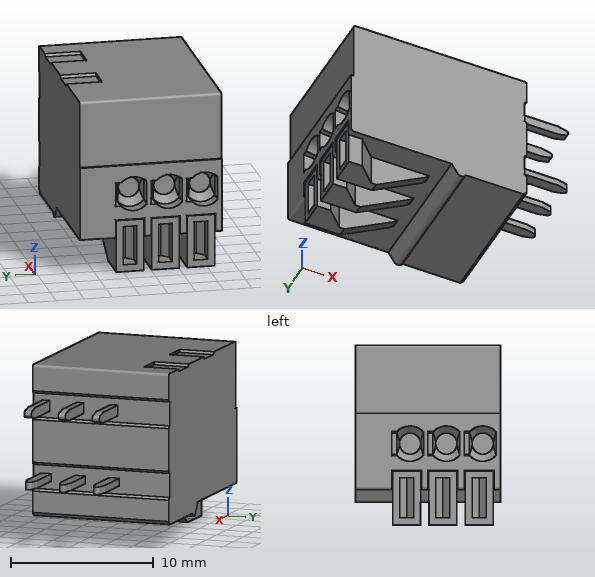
import cadquery as cq
import math

length = 17.2
width = 10.17
height = 12.6
poles = 3
pitch = width / (poles + 1)

body_right = 13.65
front_step = 0.19
front_step_z = 7.83
front_floor_z = 2.5
rear_floor_z = 1.84
corner_radius = 0.19
corner_chamfer = 0.25

rib_start_x = 7.81
rib_x = 8.57
rib_radius = 0.35
rib_bottom_z = 1.6

recess_depth = 0.17
recess_height = 1.7
recess_centers_z = (4.65, 9.74)

notch_starts_x = (4.52, 9.6)
notch_width = 2.1
notch_depth = 0.17
notch_slope_run = 0.22

entry_y = 1.25
entry_z = 5.71
entry_throat_radius = 1.24
entry_floor_radius = 0.74
entry_flat = 0.95
entry_floor_flat = 0.74
entry_throat_depth = 1.01
entry_funnel_depth = 0.62
pocket_reach = 1.29
pocket_mouth_half = 0.86
pocket_floor_half = 0.74

lever_y = 1.5
lever_width = 1.96
lever_top_z = 3.78
lever_front_x = 0.07
lever_block_end_x = 1.12
lever_arm_start_x = 2.43
lever_bottom_end_x = 2.82
lever_slope_end = (6.62, 2.22)
lever_root_x = 6.97
lever_clearance = 0.07
window_width = 0.98
window_bottom_z = 0.52
window_height = 2.8
window_wall_depth = 1.12

pin_y = 0.96
pin_width = 0.75
pin_thickness = 0.53
pin_taper_x = 16.4
pin_nose_radius = 0.24
pin_root_depth = 0.35


def make_housing():
    """Housing side outline, extruded over the full width."""
    rib_center_z = rib_bottom_z + rib_radius
    drop = front_floor_z - rib_center_z
    run = rib_x - rib_start_x
    rib_slope = math.atan2(drop, run) + math.asin(rib_radius / math.hypot(drop, run))
    tangent_x = rib_x - rib_radius * math.sin(rib_slope)
    tangent_z = rib_center_z - rib_radius * math.cos(rib_slope)
    rib_end_x = rib_x + math.sqrt(rib_radius**2 - (rib_center_z - rear_floor_z) ** 2)
    outline = (
        cq.Workplane("XZ")
        .moveTo(0, front_floor_z)
        .lineTo(rib_start_x, front_floor_z)
        .lineTo(tangent_x, tangent_z)
        .threePointArc((rib_x, rib_bottom_z), (rib_end_x, rear_floor_z))
        .lineTo(body_right, rear_floor_z)
        .lineTo(body_right, height)
        .lineTo(front_step, height)
        .lineTo(front_step, front_step_z)
        .lineTo(0, front_step_z)
        .close()
    )
    housing = outline.extrude(-width)
    housing = housing.edges("|Y and >Z").fillet(corner_radius)
    front_corner = cq.selectors.NearestToPointSelector((0, width / 2, front_floor_z))
    housing = housing.edges(front_corner).fillet(corner_radius)
    rear_corner = cq.selectors.NearestToPointSelector((body_right, width / 2, rear_floor_z))
    return housing.edges(rear_corner).chamfer(corner_chamfer)


def make_recess(center_z):
    """Groove with 45 degree flanks across the pin face."""
    floor_half = recess_height / 2
    return (
        cq.Workplane("XZ")
        .polyline([
            (body_right - recess_depth, center_z - floor_half),
            (body_right, center_z - floor_half - recess_depth),
            (body_right, center_z + floor_half + recess_depth),
            (body_right - recess_depth, center_z + floor_half),
        ])
        .close()
        .extrude(-width)
    )


def make_notch(start_x):
    """Shallow notch with sloped ends, one pitch long."""
    end_x = start_x + notch_width
    return (
        cq.Workplane("XZ", origin=(0, width - pitch, 0))
        .polyline([
            (start_x, height),
            (start_x + notch_slope_run, height - notch_depth),
            (end_x - notch_slope_run, height - notch_depth),
            (end_x, height),
        ])
        .close()
        .extrude(-pitch)
    )


def make_entry():
    """Wire entry cavity: flattened throat and funnel, with a shallow pocket on the +Y side."""
    diameter = 2 * entry_throat_radius
    throat_box = cq.Workplane("YZ").rect(2 * entry_flat, diameter).extrude(entry_throat_depth)
    throat = cq.Workplane("YZ").circle(entry_throat_radius).extrude(entry_throat_depth).intersect(throat_box)

    funnel_plane = cq.Workplane("YZ", origin=(entry_throat_depth, 0, 0))
    cone = (
        funnel_plane.circle(entry_throat_radius)
        .workplane(offset=entry_funnel_depth)
        .circle(entry_floor_radius)
        .loft()
    )
    wedge = (
        funnel_plane.rect(2 * entry_flat, diameter)
        .workplane(offset=entry_funnel_depth)
        .rect(2 * entry_floor_flat, diameter)
        .loft()
    )
    funnel = cone.intersect(wedge)

    pocket = (
        cq.Workplane("XY")
        .polyline([
            (0, -pocket_mouth_half),
            (entry_throat_depth, -pocket_floor_half),
            (entry_throat_depth, pocket_floor_half),
            (0, pocket_mouth_half),
        ])
        .close()
        .extrude(pocket_reach)
        .rotate((0, 0, 0), (1, 0, 0), -90)
    )
    return throat.union(pocket).union(funnel)


def make_lever():
    """Lever, centred on Y = 0: front block, diagonal step and thin arm."""
    half = lever_width / 2
    diagonal = lever_arm_start_x - lever_block_end_x
    side = (
        cq.Workplane("XZ", origin=(0, -half, 0))
        .polyline([
            (lever_front_x, 0),
            (lever_bottom_end_x, 0),
            lever_slope_end,
            (lever_root_x, front_floor_z),
            (lever_root_x, lever_top_z),
            (lever_front_x, lever_top_z),
        ])
        .close()
        .extrude(-lever_width)
    )
    plan = (
        cq.Workplane("XY")
        .polyline([
            (lever_front_x, -half),
            (lever_block_end_x, -half),
            (lever_arm_start_x, diagonal - half),
            (lever_root_x, diagonal - half),
            (lever_root_x, half),
            (lever_front_x, half),
        ])
        .close()
        .extrude(lever_top_z)
    )
    return side.intersect(plan)


def make_window():
    """Blind lever window, centred on Y = 0; half of its end wall follows the diagonal step."""
    window_half = window_width / 2
    return (
        cq.Workplane("XY", origin=(0, 0, window_bottom_z))
        .polyline([
            (lever_front_x, -window_half),
            (window_wall_depth, -window_half),
            (window_wall_depth + window_half, 0),
            (window_wall_depth + window_half, window_half),
            (lever_front_x, window_half),
        ])
        .close()
        .extrude(window_height)
    )


def make_pin(plane, center_y, center_z):
    """Flat pin with a tapered round nose; its wide side lies in the given plane."""
    root_x = body_right - pin_root_depth
    half = pin_width / 2
    nose_x = length - pin_nose_radius
    pin = (
        cq.Workplane(plane)
        .moveTo(root_x, half)
        .lineTo(pin_taper_x, half)
        .lineTo(nose_x, pin_nose_radius)
        .threePointArc((length, 0), (nose_x, -pin_nose_radius))
        .lineTo(pin_taper_x, -half)
        .lineTo(root_x, -half)
        .close()
        .extrude(pin_thickness / 2, both=True)
    )
    return pin.translate((0, center_y, center_z))


result = make_housing()

for center_z in recess_centers_z:
    result = result.cut(make_recess(center_z))

for start_x in notch_starts_x:
    result = result.cut(make_notch(start_x))

entry = make_entry()
lever = make_lever()
window = make_window()
lever_slot = cq.Workplane("XY").box(
    lever_block_end_x,
    lever_width + 2 * lever_clearance,
    lever_top_z + lever_clearance,
    centered=(False, True, False),
)
lower_pin_z, upper_pin_z = recess_centers_z

for pole in range(poles):
    offset = pole * pitch
    lever_place = (0, lever_y + offset, 0)
    result = result.cut(entry.translate((0, entry_y + offset, entry_z)))
    result = result.cut(lever_slot.translate(lever_place))
    result = result.union(lever.translate(lever_place))
    result = result.cut(window.translate(lever_place))
    result = result.union(make_pin("XY", pin_y + offset, lower_pin_z))
    result = result.union(make_pin("XZ", pin_y + offset, upper_pin_z))